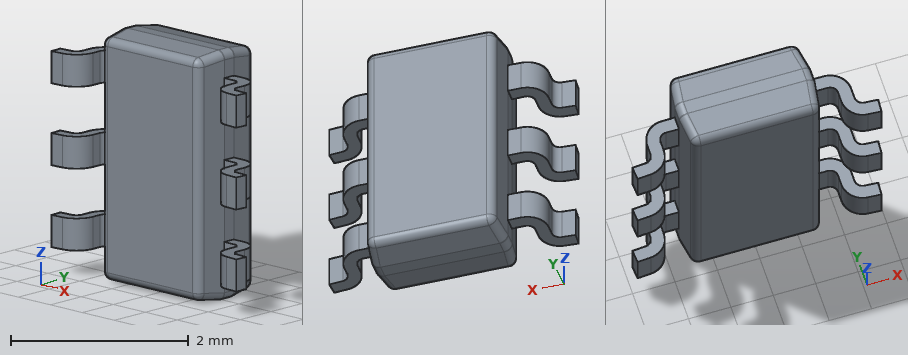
import cadquery as cq
import math

BODY_WIDTH = 1.6
BODY_DEPTH = 0.9
BODY_LENGTH = 2.9
DRAFT_ANGLE = 8.0
BODY_FILLET = 0.1

LEAD_SPAN = 2.9
LEAD_THICKNESS = 0.157
LEAD_WIDTH = 0.375
LEAD_PITCH = 0.95
LEADS_PER_SIDE = 3
INNER_BEND = 0.093
OUTER_BEND = INNER_BEND + LEAD_THICKNESS
SHANK_FACE = 1.047
FOOT_TILT = 4.0
STANDOFF = 0.102

BAND_THICKNESS = LEAD_THICKNESS


def make_body():
    """Filleted block, drafted both ways from the band at mid-depth."""
    half_band = BAND_THICKNESS / 2
    drafted_depth = (BODY_DEPTH - BAND_THICKNESS) / 2
    body = cq.Workplane("XY").box(BODY_WIDTH, BAND_THICKNESS, BODY_LENGTH)
    for direction in (1, -1):
        start = cq.Plane((0, direction * half_band, 0), (1, 0, 0), (0, direction, 0))
        half = cq.Workplane(start).rect(BODY_WIDTH, BODY_LENGTH).extrude(drafted_depth, taper=DRAFT_ANGLE)
        body = body.union(half)

    corners = body.edges().filter(lambda edge: edge.BoundingBox().ylen > half_band)
    rims = body.faces("<Y or >Y").edges()
    return corners.add(rims).fillet(BODY_FILLET)


def make_lead(side, height):
    """S-shaped strip on the +X (side = 1) or -X (side = -1) wall, centred at Z = height."""
    half_thickness = LEAD_THICKNESS / 2
    tilt = math.radians(FOOT_TILT)
    mid_arc = math.radians(45)
    mid_foot_arc = math.radians(225) - tilt / 2
    foot_arc_end = math.radians(270) - tilt

    shank_outer = SHANK_FACE + LEAD_THICKNESS
    shoulder_x = SHANK_FACE - INNER_BEND
    shoulder_y = -half_thickness - INNER_BEND
    heel_x = shank_outer + INNER_BEND
    tip_x = LEAD_SPAN / 2
    tip_bottom = -BODY_DEPTH / 2 - STANDOFF
    tip_top = tip_bottom + LEAD_THICKNESS * math.cos(tilt)
    foot_top_start = heel_x - INNER_BEND * math.sin(tilt)
    foot_drop = (tip_x - foot_top_start) * math.tan(tilt)
    heel_y = tip_top + foot_drop + INNER_BEND * math.cos(tilt)

    def shoulder(radius, angle):
        return (shoulder_x + radius * math.cos(angle), shoulder_y + radius * math.sin(angle))

    def heel(radius, angle):
        return (heel_x + radius * math.cos(angle), heel_y + radius * math.sin(angle))

    outline = (
        cq.Workplane("XY", origin=(0, 0, height - LEAD_WIDTH / 2))
        .moveTo(BODY_WIDTH / 2, half_thickness)
        .lineTo(shoulder_x, half_thickness)
        .threePointArc(shoulder(OUTER_BEND, mid_arc), shoulder(OUTER_BEND, 0))
        .lineTo(shank_outer, heel_y)
        .threePointArc(heel(INNER_BEND, mid_foot_arc), heel(INNER_BEND, foot_arc_end))
        .lineTo(tip_x, tip_top)
        .lineTo(tip_x - LEAD_THICKNESS * math.sin(tilt), tip_bottom)
        .lineTo(*heel(OUTER_BEND, foot_arc_end))
        .threePointArc(heel(OUTER_BEND, mid_foot_arc), (SHANK_FACE, heel_y))
        .lineTo(SHANK_FACE, shoulder_y)
        .threePointArc(shoulder(INNER_BEND, mid_arc), (shoulder_x, -half_thickness))
        .lineTo(BODY_WIDTH / 2, -half_thickness)
        .close()
    )
    lead = outline.extrude(LEAD_WIDTH)
    if side < 0:
        lead = lead.mirror("YZ")
    return lead


body = make_body()

leads = []
for side in (1, -1):
    for row in range(LEADS_PER_SIDE):
        height = (row - (LEADS_PER_SIDE - 1) / 2) * LEAD_PITCH
        leads.append(make_lead(side, height).val())

result = cq.Compound.makeCompound([body.val(), *leads])